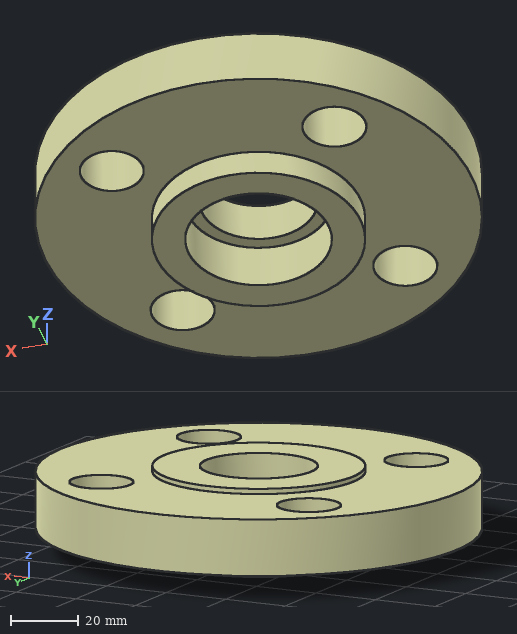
import cadquery as cq

flange_diameter = 133.4
flange_thickness = 17.3

hub_diameter = 63.6
hub_height = 8.0
raised_face_height = 1.6

bore_diameter = 35.2
bore_length = 12.7
socket_diameter = 43.7

bolt_hole_count = 4
bolt_hole_diameter = 19.1
bolt_circle_diameter = 98.5
first_bolt_angle = 45.0

flange_top = hub_height + flange_thickness
total_height = flange_top + raised_face_height
socket_depth = total_height - bore_length


def cylinder(diameter, bottom, height):
    """Vertical cylinder on the flange axis."""
    return cq.Workplane("XY").workplane(offset=bottom).circle(diameter / 2).extrude(height)


def bolt_holes():
    """Cutters for the bolt holes, through the disc."""
    return (
        cq.Workplane("XY")
        .workplane(offset=hub_height)
        .polarArray(bolt_circle_diameter / 2, first_bolt_angle, 360, bolt_hole_count)
        .circle(bolt_hole_diameter / 2)
        .extrude(flange_thickness)
    )


disc = cylinder(flange_diameter, hub_height, flange_thickness)
hub_and_face = cylinder(hub_diameter, 0, total_height)
bore = cylinder(bore_diameter, 0, total_height)
socket = cylinder(socket_diameter, 0, socket_depth)

result = disc.union(hub_and_face).cut(bore).cut(socket).cut(bolt_holes())